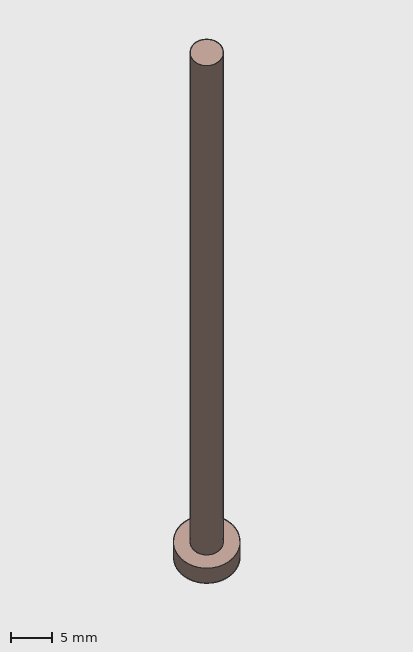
import cadquery as cq

total_length = 100.0
head_diameter = 8.0
head_height = 3.0
shank_diameter = 4.0

head = cq.Workplane("XY").circle(head_diameter / 2).extrude(head_height)
shank = cq.Workplane("XY").circle(shank_diameter / 2).extrude(total_length)

result = head.union(shank)